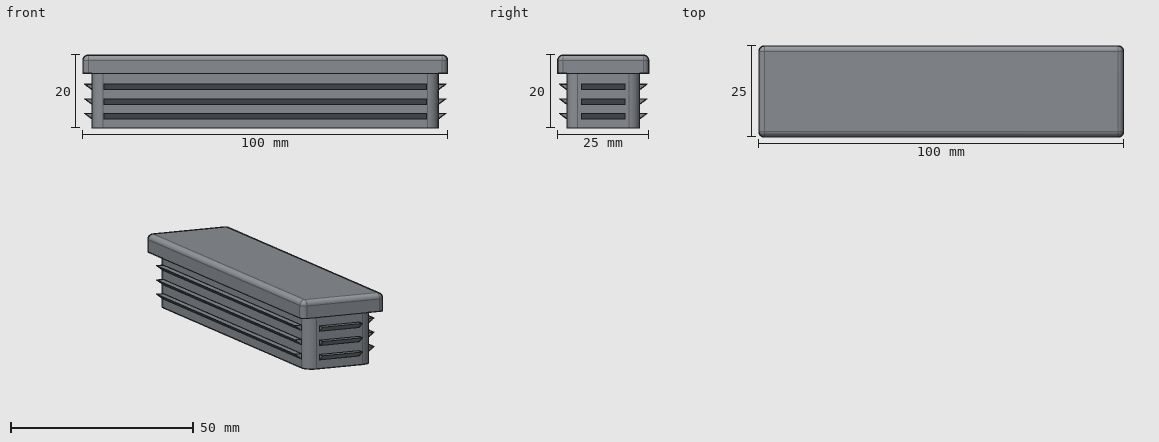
import cadquery as cq

cap_length = 100
cap_width = 25
cap_height = 5
cap_rounding = 1.5

cap_overhang = 2.5
body_length = cap_length - 2 * cap_overhang
body_width = cap_width - 2 * cap_overhang
body_height = 15
body_corner_radius = 3

fin_reach = 2
fin_thickness = 1.5
fin_pitch = 4
fin_count = 3
first_fin_depth = 3
side_fin_length = 88.5
end_fin_length = 12


def make_cap():
    block = cq.Workplane("XY").workplane(offset=body_height).rect(cap_length, cap_width).extrude(cap_height)
    return block.edges("|Z").fillet(cap_rounding).faces(">Z").edges().fillet(cap_rounding)


def make_body():
    block = cq.Workplane("XY").rect(body_length, body_width).extrude(body_height)
    return block.edges("|Z").fillet(body_corner_radius)


def make_fin(wall_distance, fin_length, top_z):
    """Triangular fin along Y on the wall at +X, centred on Y = 0."""
    return (
        cq.Workplane("XZ")
        .moveTo(wall_distance, top_z)
        .lineTo(wall_distance + fin_reach, top_z)
        .lineTo(wall_distance, top_z - fin_thickness)
        .lineTo(wall_distance - fin_thickness, top_z - fin_thickness)
        .lineTo(wall_distance - fin_thickness, top_z)
        .close()
        .extrude(fin_length / 2, both=True)
    )


result = make_cap().union(make_body())

for level in range(fin_count):
    top_z = body_height - first_fin_depth - level * fin_pitch
    end_fin = make_fin(body_length / 2, end_fin_length, top_z)
    side_fin = make_fin(body_width / 2, side_fin_length, top_z)
    for end_angle in (0, 180):
        result = result.union(end_fin.rotate((0, 0, 0), (0, 0, 1), end_angle))
        result = result.union(side_fin.rotate((0, 0, 0), (0, 0, 1), end_angle + 90))